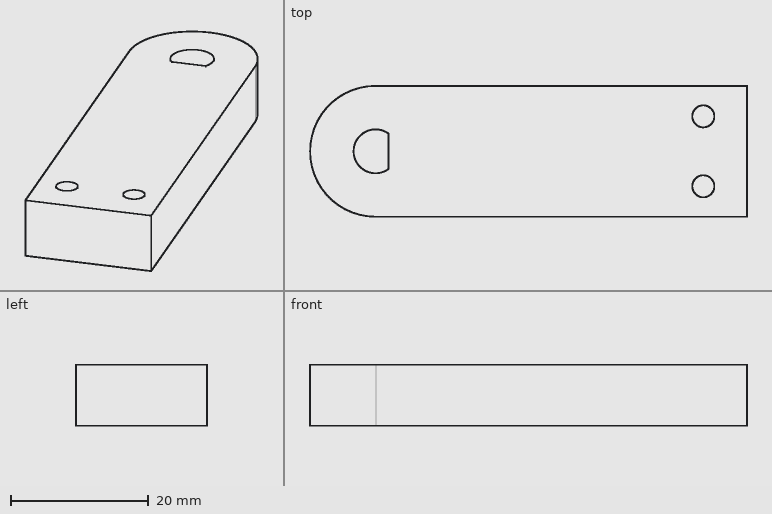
import cadquery as cq

length = 63.5
width = 19.05
thickness = 8.89

shaft_bore_diameter = 6.35
flat_offset = 1.85

mount_hole_diameter = 3.175
mount_hole_spacing = 10.16
mount_hole_end_margin = 6.35

end_radius = width / 2
square_end_x = length - end_radius
mount_hole_x = square_end_x - mount_hole_end_margin


def arm_body():
    """Flat bar with a full round at the -X end and a square +X end."""
    return (
        cq.Workplane("XY")
        .moveTo(0, end_radius)
        .threePointArc((-end_radius, 0), (0, -end_radius))
        .lineTo(square_end_x, -end_radius)
        .lineTo(square_end_x, end_radius)
        .close()
        .extrude(thickness)
    )


def d_bore():
    """D-shaped shaft bore, with its flat on the +X side."""
    bore_radius = shaft_bore_diameter / 2
    flat_half_height = (bore_radius**2 - flat_offset**2) ** 0.5
    return (
        cq.Workplane("XY")
        .moveTo(flat_offset, flat_half_height)
        .threePointArc((-bore_radius, 0), (flat_offset, -flat_half_height))
        .close()
        .extrude(thickness)
    )


def mount_holes():
    """Pair of through holes near the square end."""
    half_spacing = mount_hole_spacing / 2
    return (
        cq.Workplane("XY")
        .pushPoints([(mount_hole_x, -half_spacing), (mount_hole_x, half_spacing)])
        .circle(mount_hole_diameter / 2)
        .extrude(thickness)
    )


result = arm_body().cut(d_bore()).cut(mount_holes())